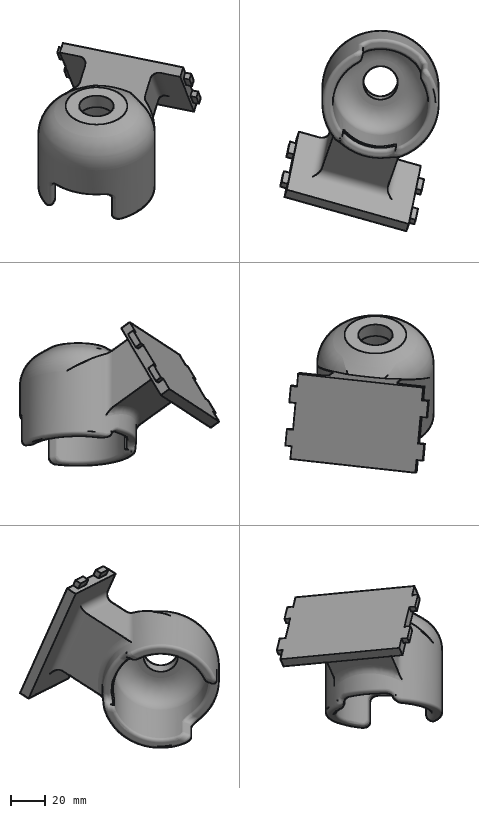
import cadquery as cq
import math

CUP_RADIUS = 34.0
CUP_HEIGHT = 60.1
SHOULDER_Z = 38.8
CONE_RADIUS = 24.7
CONE_Z = 55.8
TOP_RADIUS = 18.0
BORE_RADIUS = 10.0
CAVITY_RADIUS = 27.8
CAVITY_HEIGHT = 51.7
CAVITY_FILLET = 13.7

RIM_FILLET = 1.9
NOTCH_CORNER = 4.0
FRONT_NOTCH_HALF_WIDTH = 18.0
FRONT_NOTCH_HEIGHT = 20.0
BACK_NOTCH_HALF_WIDTH = 16.0
BACK_NOTCH_HEIGHT = 5.1
RECESS_HEIGHT = 10.3
RECESS_DEPTH = 1.0
RECESS_CORNER = 1.9

TILT = 30.0
PLATE_TOP_Z = 62.5
PLATE_LENGTH = 50.3
PLATE_THICKNESS = 6.2
PLATE_WIDTH = 74.1
PLATE_END_Y = 73.6
ARM_WIDTH = 40.0
ARM_DEPTH = 30.0
ARM_FILLET = 5.0

TAB_LENGTH = 9.7
TAB_THICKNESS = 3.8
TAB_SPAN = 81.4
TAB_INSET = 7.5

WEB_HALF_ANGLE = 40.0

tilt = math.radians(TILT)
plate_top_y = PLATE_END_Y - PLATE_LENGTH * math.sin(tilt)
arm_plane = cq.Plane(
    origin=(0, plate_top_y, PLATE_TOP_Z),
    xDir=(1, 0, 0),
    normal=(0, -math.sin(tilt), math.cos(tilt)),
)


def tilted_box(width, y_min, y_max, z_min, z_max):
    """Box centred in X, given by its limits in the arm's local axes."""
    box = cq.Workplane("XY").box(width, y_max - y_min, z_max - z_min, centered=(True, False, False))
    return cq.Workplane(box.val().translate(cq.Vector(0, y_min, z_min)).moved(cq.Location(arm_plane)))


def dome_profile():
    """Half section of the cup's outside; the arc has a vertical tangent at the shoulder."""
    rise = CONE_Z - SHOULDER_Z
    inset = CUP_RADIUS - CONE_RADIUS
    arc_radius = (rise**2 + inset**2) / (2 * inset)
    half_angle = math.asin(rise / arc_radius) / 2
    arc_middle = (
        CUP_RADIUS - arc_radius * (1 - math.cos(half_angle)),
        SHOULDER_Z + arc_radius * math.sin(half_angle),
    )
    return (
        cq.Workplane("XZ")
        .lineTo(CUP_RADIUS, 0)
        .lineTo(CUP_RADIUS, SHOULDER_Z)
        .threePointArc(arc_middle, (CONE_RADIUS, CONE_Z))
        .lineTo(TOP_RADIUS, CUP_HEIGHT)
        .lineTo(0, CUP_HEIGHT)
        .close()
    )


def make_dome():
    return dome_profile().revolve(360, (0, 0), (0, 1))


def make_web():
    """Sector of the top cone continued to the arm, with straight dome-shaped flanks."""
    slope = (CUP_HEIGHT - CONE_Z) / (CONE_RADIUS - TOP_RADIUS)
    edge_z = CUP_HEIGHT - (CUP_RADIUS - TOP_RADIUS) * slope
    web = (
        cq.Workplane("XZ")
        .lineTo(CUP_RADIUS, 0)
        .lineTo(CUP_RADIUS, edge_z)
        .lineTo(TOP_RADIUS, CUP_HEIGHT)
        .lineTo(0, CUP_HEIGHT)
        .close()
        .revolve(360, (0, 0), (0, 1))
    )
    reach = 2 * CUP_RADIUS
    half_width = reach * math.tan(math.radians(WEB_HALF_ANGLE))
    sector = cq.Workplane("XY").polyline([(0, 0), (half_width, reach), (-half_width, reach)]).close()
    web = web.intersect(sector.extrude(CUP_HEIGHT))
    for angle in (90 - WEB_HALF_ANGLE, 90 + WEB_HALF_ANGLE):
        flank = dome_profile().extrude(CUP_RADIUS, both=True)
        web = web.intersect(flank.rotate((0, 0, 0), (0, 0, 1), angle))
    return web


def make_bracket():
    """Plate and arm, with the cup's cylinder carried up to the arm's sloping top."""
    plate = tilted_box(PLATE_WIDTH, -PLATE_THICKNESS, 0, -PLATE_LENGTH, 0)
    arm_length = plate_top_y / math.cos(tilt)
    arm = tilted_box(ARM_WIDTH, -arm_length, -PLATE_THICKNESS, -ARM_DEPTH, 0)
    below_top = tilted_box(PLATE_WIDTH, -2 * arm_length, 0, -2 * PLATE_TOP_Z, 0)
    post = cq.Workplane("XY").circle(CUP_RADIUS).extrude(PLATE_TOP_Z).intersect(below_top)
    body = plate.union(arm).union(post)
    half_arm = ARM_WIDTH / 2
    post_joint_y = math.sqrt(CUP_RADIUS**2 - half_arm**2)
    post_joint = cq.selectors.BoxSelector(
        (-half_arm - 1.1, post_joint_y - 1.1, 0), (half_arm + 1.1, CUP_RADIUS - 1.1, SHOULDER_Z)
    )
    return body.edges(post_joint).fillet(ARM_FILLET).edges(PlateJoint()).fillet(ARM_FILLET)


class PlateJoint(cq.Selector):
    """Edges where the arm meets the inner face of the plate."""

    def filter(self, objects):
        half_arm = ARM_WIDTH / 2
        chosen = []
        for edge in objects:
            local = arm_plane.toLocalCoords(edge.Center())
            on_face = abs(local.y + PLATE_THICKNESS) < 0.01
            at_arm = abs(local.x) < half_arm + 0.01 and local.z < -0.01 and local.z > -ARM_DEPTH - 0.01
            if on_face and at_arm:
                chosen.append(edge)
        return chosen


def make_notch(half_width, height, corner, y_start, length):
    """Round-topped opening through the rim, running toward +Y from y_start."""
    return (
        cq.Workplane("XY")
        .box(2 * half_width, length, height, centered=(True, False, False))
        .edges("|Y and >Z")
        .fillet(corner)
        .translate((0, y_start, 0))
    )


def make_cavity(radius):
    """Round-topped hollow with the bore above it."""
    bore = cq.Workplane("XY").circle(BORE_RADIUS).extrude(CUP_HEIGHT)
    hollow = cq.Workplane("XY").circle(radius).extrude(CAVITY_HEIGHT)
    return hollow.faces(">Z").edges().fillet(CAVITY_FILLET).union(bore)


class RimEdges(cq.Selector):
    """Edges on a cylinder of the given radius that outline the open rim and its notches."""

    def __init__(self, radius):
        self.radius = radius

    def filter(self, objects):
        chosen = []
        for edge in objects:
            on_wall = all(
                math.isclose(math.hypot(point.x, point.y), self.radius, abs_tol=0.02)
                for point in edge.positions([0, 0.3, 0.7, 1])
            )
            box = edge.BoundingBox()
            top = BACK_NOTCH_HEIGHT if box.ymin > 0 else FRONT_NOTCH_HEIGHT
            if on_wall and box.zmax < top + 0.01:
                chosen.append(edge)
        return chosen


def make_cup(outside, cavity_radius):
    """Hollow and notch the outside solid, then round both edges of the rim."""
    cup = outside.cut(make_cavity(cavity_radius))
    cup = cup.cut(
        make_notch(FRONT_NOTCH_HALF_WIDTH, FRONT_NOTCH_HEIGHT, NOTCH_CORNER, -CUP_RADIUS, CUP_RADIUS)
    )
    cup = cup.cut(make_notch(BACK_NOTCH_HALF_WIDTH, BACK_NOTCH_HEIGHT, NOTCH_CORNER, 0, CUP_RADIUS))
    cup = cup.edges("|Y").edges("<Z").fillet(NOTCH_CORNER)
    for radius in (CUP_RADIUS, cavity_radius):
        cup = cup.edges(RimEdges(radius)).fillet(RIM_FILLET)
    return cup


def make_tabs():
    """Two tabs on each end of the plate, flush with its outer face."""
    tabs = cq.Workplane("XY")
    for top in (-TAB_INSET, TAB_INSET + TAB_LENGTH - PLATE_LENGTH):
        tabs = tabs.union(tilted_box(TAB_SPAN, -TAB_THICKNESS, 0, top - TAB_LENGTH, top))
    return tabs


outside = make_dome().union(make_web()).union(make_bracket())
cup = make_cup(outside, CAVITY_RADIUS)
recess_zone = make_notch(BACK_NOTCH_HALF_WIDTH, RECESS_HEIGHT, RECESS_CORNER, 0, CUP_RADIUS)
recess_wall = make_cup(make_dome(), CAVITY_RADIUS + RECESS_DEPTH).intersect(recess_zone)
result = cup.cut(recess_zone).union(recess_wall).union(make_tabs())